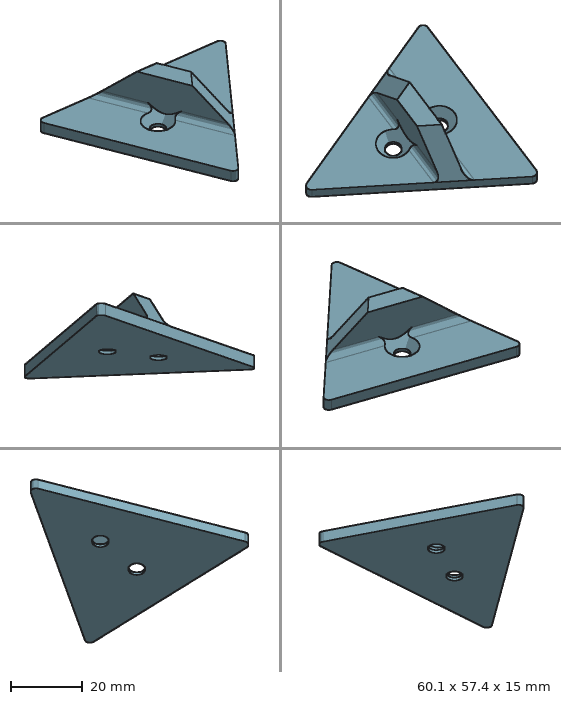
import cadquery as cq
import math

plate_width = 60.15
plate_depth = 57.4
plate_thickness = 3.5
corner_radius = 1.5

total_height = 15.0
rib_thickness = 6.15
rib_center_y = 21.5
rib_top_half_width = 8.5
foot_radius = 2.0

hole_diameter = 4.7
countersink_diameter = 9.7
hole_spacing = 15.15

rib_front_y = rib_center_y - rib_thickness / 2

center_half_width = plate_width / 2 - corner_radius
center_apex_y = plate_depth - corner_radius
edge_slope = center_half_width / (center_apex_y - corner_radius)
edge_offset_x = corner_radius * math.hypot(1, edge_slope)


def edge_half_width(y):
    """Half-width between the straight sloping edges of the plate at a given Y."""
    return edge_slope * (center_apex_y - y) + edge_offset_x


def make_plate():
    centers = [
        (-center_half_width, corner_radius),
        (center_half_width, corner_radius),
        (0, center_apex_y),
    ]
    outline = cq.Workplane("XY").polyline(centers).close().offset2D(corner_radius, "arc")
    return outline.extrude(plate_thickness)


def make_rib_blank():
    """Straight bar, long enough to be trimmed by the sloping end faces."""
    return (
        cq.Workplane("XY", origin=(0, rib_center_y, 0))
        .box(plate_width, rib_thickness, total_height, centered=(True, True, False))
    )


def make_foot_fillet(side):
    """Concave strip on the front (-1) or back (+1) face of the rib."""
    face_y = rib_center_y + side * rib_thickness / 2
    outer_y = face_y + side * foot_radius
    top_z = plate_thickness + foot_radius
    arc_inset = foot_radius * (1 - math.sqrt(0.5))
    arc_middle = (face_y + side * arc_inset, plate_thickness + arc_inset)
    return (
        cq.Workplane("YZ")
        .moveTo(face_y, plate_thickness)
        .lineTo(outer_y, plate_thickness)
        .threePointArc(arc_middle, (face_y, top_z))
        .close()
        .extrude(plate_width / 2, both=True)
    )


def make_rib_envelope():
    """Space between the sloping rib ends, which start on the plate edges."""
    front_y = rib_front_y - foot_radius
    back_y = rib_center_y + rib_thickness / 2 + foot_radius
    end_run = edge_half_width(rib_front_y) - rib_top_half_width

    def section(z, inset):
        front = edge_half_width(front_y) - inset
        back = edge_half_width(back_y) - inset
        corners = [(-front, front_y), (front, front_y), (back, back_y), (-back, back_y)]
        return cq.Workplane("XY", origin=(0, 0, z)).polyline(corners).close().val()

    lower = section(plate_thickness, 0)
    upper = section(total_height, end_run)
    return cq.Workplane(cq.Solid.makeLoft([lower, upper], True))


def make_hole_cutter(y):
    """Through hole with a 45-degree countersink that keeps opening through the fillet."""
    hole_radius = hole_diameter / 2
    cone_bottom = plate_thickness - (countersink_diameter - hole_diameter) / 2
    cone_top = plate_thickness + foot_radius
    top_radius = hole_radius + cone_top - cone_bottom
    profile = [
        (0, 0),
        (hole_radius, 0),
        (hole_radius, cone_bottom),
        (top_radius, cone_top),
        (0, cone_top),
    ]
    cutter = cq.Workplane("XZ").polyline(profile).close().revolve(360, (0, 0), (0, 1))
    return cutter.translate((0, y, 0))


envelope = make_rib_envelope()
plate = make_plate()
rib_blank = make_rib_blank()

result = plate
for side in (-1, 1):
    result = result.union(make_foot_fillet(side).intersect(envelope))
for side in (-1, 1):
    result = result.cut(make_hole_cutter(rib_center_y + side * hole_spacing / 2))

rib_root = rib_blank.intersect(plate)
rib_upper = rib_blank.intersect(envelope)
result = result.union(rib_root).union(rib_upper)